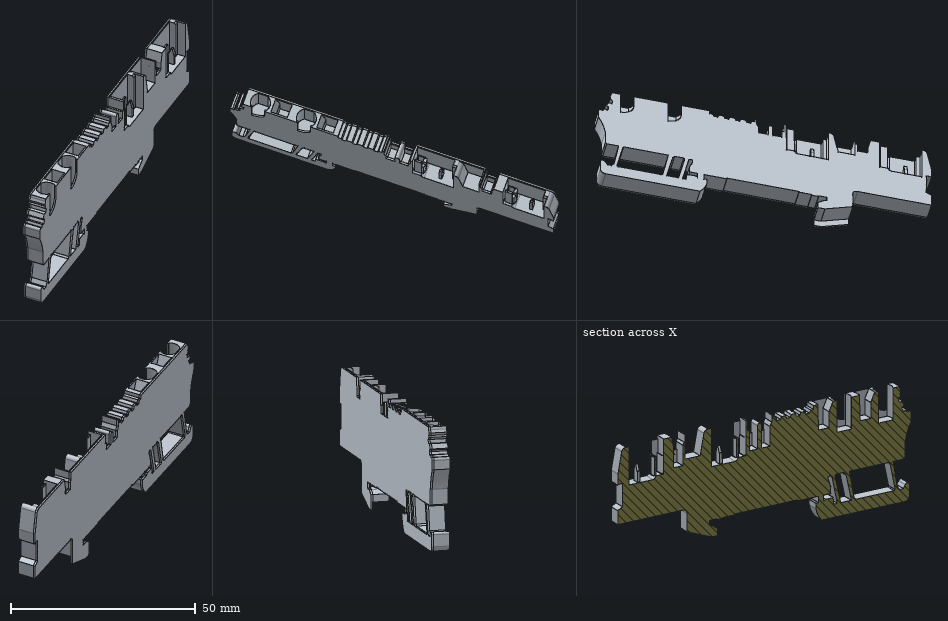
import cadquery as cq

LENGTH = 93.0
WIDTH = 5.1
HEIGHT = 34.0
COVER_THICKNESS = 0.6
SIDE_WALL = 0.3

END = LENGTH / 2
CAVITY_X = COVER_THICKNESS + SIDE_WALL

RAIL_SEAT_Z = 7.2
RAIL_RELIEF_Z = 7.4
ARM_TOP_Z = 4.0
WINDOW_TOP_Z = 12.5
SHOULDER_Z = 11.9
END_CORNER_RADIUS = 0.7
ARM_CORNER_RADIUS = 1.5
BRIDGE_FLOOR_Z = 28.7
PLUG_WALL_FOOT_Z = 26.8

PLUG_PITCH = 26.0
PLUG_COUNT = 2
CONDUCTOR_PITCH = 13.2
CONDUCTOR_COUNT = 2

SOCKET_END_Y = 43.8
SOCKET_INNER_Y = 32.0
SOCKET_FLOOR_Z = 22.9
SHELF_START_Y = 34.5
SHELF_RISE = 0.9

PLUG_WALL_SHOULDER = (45.3, 33.1)
PLUG_WALL_CREST_Y = 44.0
PLUG_WALL_RADIUS = 1.4

SLOT_1_Y = (25.95, 28.7)
SLOT_2_Y = (-1.7, 4.7)
FIN_Y = (0.9, 2.2)
FIN_TOP_Z = 32.5
BRIDGE_POCKET_DEPTH = 3.7
BRIDGE_POCKET_X_END = 4.6

MARKER_Y = (-15.4, -2.8)
MARKER_LEDGE_Z = 32.9
GROOVE_FLOOR_Z = 32.1
GROOVE_START_Y = -3.7
GROOVE_WIDTH = 1.6
GROOVE_PITCH = 3.1
GROOVE_COUNT = 4
GROOVE_DRAFT = 0.3

WELL_Y = (-21.7, -16.9)
OPENING_X_END = 4.65
WELL_DEPTH = 7.4
WELL_RAMP_RUN = 1.3
WELL_RAMP_DROP = 2.8
WELL_DRAFT = 0.3
WIRE_HOLE_Y = -25.2
WIRE_HOLE_X = 3.2
WIRE_HOLE_RADIUS = 2.7
WIRE_HOLE_DEPTH = 9.3
SCOOP_STRAIGHT_DEPTH = 3.7

PILLAR_Y = (-18.8, -17.0)
PILLAR_FOOT_Z = 5.4
FOOT_NOTCH_Y = 18.2
FOOT_LIFT = 2.2
FOOT_OUTER_Y = 24.55
FOOT_TIP_Y = 14.8
FOOT_SLOPE_Y = 16.7
FOOT_SLOPE_Z = 3.1
RAIL_BUMP_Y = (13.0, 15.0)
RAIL_BUMP_HEIGHT = 0.3

BLADE_Y = 39.6
BLADE_X = (1.95, 3.9)
BLADE_THICKNESS = 0.8
BLADE_SHOULDER_Z = 26.0
BLADE_SHOULDER_WIDTH = 0.3
BLADE_TIP_Z = 27.9
BLADE_TIP_X = (3.0, 3.4)

CLIP_X = (1.4, 4.5)
CLIP_Y = (32.4, 34.4)
CLIP_SHEET = 0.2
CLIP_TOP_Z = 29.3
CLIP_ARM_THICKNESS = 0.5
CLIP_ARM_TOP_Z = 33.3
CLIP_MOUTH_X = (2.8, 3.35)
CLIP_MOUTH_FLARE_X = (1.6, 4.3)
CLIP_MOUTH_TIP_Y = 35.25
CLIP_LIP_STEP = 0.6


def block(x_range, y_range, z_range):
    """A box given by its limits along the three axes."""
    (x0, x1), (y0, y1), (z0, z1) = x_range, y_range, z_range
    return cq.Workplane("XY").box(x1 - x0, y1 - y0, z1 - z0, centered=False).translate((x0, y0, z0))


def prism(points, x_start, x_end):
    """A polygon of (Y, Z) points extruded along X."""
    return cq.Workplane("YZ").workplane(offset=x_start).polyline(points).close().extrude(x_end - x_start)


def stations(count, pitch):
    """Y shifts of repeated features, stepping towards -Y."""
    return [-pitch * index for index in range(count)]


def outer_outline(x_start, x_end):
    """The side outline of the block with a flat top, extruded along X."""
    path = cq.Workplane("YZ").workplane(offset=x_start)
    path = path.moveTo(PLUG_WALL_CREST_Y, HEIGHT).radiusArc(PLUG_WALL_SHOULDER, PLUG_WALL_RADIUS)
    path = path.lineTo(END, PLUG_WALL_FOOT_Z).lineTo(END, 23.4).lineTo(45.8, 23.6).lineTo(45.0, 23.6)
    path = path.lineTo(45.0, 16.9).lineTo(END, 16.1).lineTo(END, SHOULDER_Z)
    path = path.lineTo(25.9, SHOULDER_Z).threePointArc((24.9, 11.6), (FOOT_OUTER_Y, 10.8))
    path = path.lineTo(FOOT_OUTER_Y, FOOT_SLOPE_Z).lineTo(FOOT_SLOPE_Y, 0).lineTo(FOOT_TIP_Y, 0)
    path = path.lineTo(FOOT_TIP_Y, 4.4).lineTo(16.3, 5.5).lineTo(FOOT_NOTCH_Y, 5.5)
    path = path.lineTo(FOOT_NOTCH_Y, RAIL_SEAT_Z).lineTo(9.5, RAIL_SEAT_Z).lineTo(9.5, RAIL_RELIEF_Z)
    path = path.lineTo(-10.6, RAIL_RELIEF_Z).lineTo(-10.6, RAIL_SEAT_Z).lineTo(-21.0, RAIL_SEAT_Z)
    path = path.lineTo(-21.0, 9.3).lineTo(-20.2, 11.7).threePointArc((-20.55, 12.4), (-21.3, 11.9))
    path = path.lineTo(-23.0, ARM_TOP_Z).lineTo(-22.0, ARM_TOP_Z).lineTo(-21.8, 5.95)
    path = path.lineTo(-19.25, 5.95).lineTo(-18.6, 5.4).lineTo(-16.2, 5.4).lineTo(-16.2, 3.8)
    path = path.threePointArc((-16.9, 1.7), (-18.1, 0)).lineTo(-44.5, 0)
    path = path.radiusArc((-45.9, 1.5), ARM_CORNER_RADIUS).lineTo(-45.9, 4.8)
    path = path.threePointArc((-45.3, 5.5), (-44.55, 5.0)).lineTo(-43.9, ARM_TOP_Z)
    path = path.lineTo(-42.8, ARM_TOP_Z).lineTo(-42.0, 5.2).lineTo(-40.8, WINDOW_TOP_Z)
    path = path.lineTo(-44.2, WINDOW_TOP_Z).lineTo(-44.55, 12.8).lineTo(-44.55, 17.1)
    path = path.threePointArc((-45.2, 19.9), (-END, 22.9)).lineTo(-END, 25.5)
    path = path.radiusArc((-45.8, 26.2), END_CORNER_RADIUS)
    path = path.lineTo(-45.3, 26.0).lineTo(-44.9, 26.8).lineTo(-44.1, 26.5).lineTo(-43.6, 27.3)
    path = path.lineTo(-43.7, 27.8).lineTo(-44.55, 28.3).lineTo(-43.8, 29.6).lineTo(-42.7, 29.5)
    path = path.lineTo(-42.5, 30.5).lineTo(-43.3, 31.25).lineTo(-43.1, 31.7).lineTo(-43.3, 32.5)
    path = path.lineTo(-43.0, 33.3).lineTo(-42.8, HEIGHT)
    return path.close().extrude(x_end - x_start)


def bridge_slot_1(x_start, x_end):
    """Stepped slot beside the first plug station."""
    y0, y1 = SLOT_1_Y
    return prism(
        [(y0 - 0.5, HEIGHT), (y0 - 0.5, 31.7), (y0, 31.0), (y0, BRIDGE_FLOOR_Z), (y1 - 0.4, BRIDGE_FLOOR_Z),
         (y1, 29.1), (y1, 31.0), (y1 + 0.65, HEIGHT)],
        x_start, x_end,
    )


def bridge_slot_2(x_start, x_end):
    """Wider stepped slot with a round-topped fin standing in it."""
    y0, y1 = SLOT_2_Y
    slot = prism(
        [(y0 - 0.6, HEIGHT), (y0 - 0.6, 32.0), (y0, 30.8), (y0, BRIDGE_FLOOR_Z), (y1, BRIDGE_FLOOR_Z),
         (y1, 31.0), (y1 + 0.6, 31.0), (y1 + 0.6, HEIGHT)],
        x_start, x_end,
    )
    fin_0, fin_1 = FIN_Y
    round_start_z = FIN_TOP_Z - (fin_1 - fin_0) / 2
    fin = (
        cq.Workplane("YZ").workplane(offset=x_start)
        .moveTo(fin_0, BRIDGE_FLOOR_Z).lineTo(fin_0, round_start_z)
        .threePointArc(((fin_0 + fin_1) / 2, FIN_TOP_Z), (fin_1, round_start_z))
        .lineTo(fin_1, BRIDGE_FLOOR_Z).close().extrude(x_end - x_start)
    )
    return slot.cut(fin)


def marker_strip(x_start, x_end):
    """Lowered ledge with evenly spaced grooves that narrow towards their floors."""
    strip = block((x_start, x_end), MARKER_Y, (MARKER_LEDGE_Z, HEIGHT))
    for index in range(GROOVE_COUNT):
        groove_end = GROOVE_START_Y - GROOVE_PITCH * index
        groove_start = groove_end - GROOVE_WIDTH
        groove = prism(
            [(groove_end, MARKER_LEDGE_Z), (groove_end - GROOVE_DRAFT, GROOVE_FLOOR_Z),
             (groove_start + GROOVE_DRAFT, GROOVE_FLOOR_Z), (groove_start, MARKER_LEDGE_Z)],
            x_start, x_end,
        )
        strip = strip.union(groove)
    return strip


def spring_windows(x_start, x_end):
    """Two slanted windows that leave spring ribs between the body and the foot arm."""
    narrow = prism(
        [(-22.7, WINDOW_TOP_Z), (-25.2, WINDOW_TOP_Z), (-25.8, 11.7), (-27.4, ARM_TOP_Z),
         (-24.2, ARM_TOP_Z), (-22.4, 12.1)],
        x_start, x_end,
    )
    wide = prism(
        [(-27.0, WINDOW_TOP_Z), (-39.4, WINDOW_TOP_Z), (-39.7, 11.9), (-41.3, 4.3), (-41.0, ARM_TOP_Z),
         (-28.9, ARM_TOP_Z), (-28.5, 4.5)],
        x_start, x_end,
    )
    return narrow.union(wide)


def side_body(x_start, x_end):
    """The complete side outline, shared by the cover plate and the housing."""
    body = outer_outline(x_start, x_end)
    for feature in (bridge_slot_1, bridge_slot_2, marker_strip, spring_windows):
        body = body.cut(feature(x_start, x_end))
    return body


def plug_socket(shift):
    """Socket open to +X, with a raised shelf, a filleted step and a corner lug."""
    shelf_z = SOCKET_FLOOR_Z + SHELF_RISE
    arc_y = SHELF_START_Y + SHELF_RISE
    arc_middle = (arc_y - SHELF_RISE * 0.5 ** 0.5, shelf_z - SHELF_RISE * 0.5 ** 0.5)
    socket = (
        cq.Workplane("YZ").workplane(offset=CAVITY_X)
        .moveTo(SOCKET_END_Y, HEIGHT).lineTo(SOCKET_END_Y, SOCKET_FLOOR_Z).lineTo(arc_y, SOCKET_FLOOR_Z)
        .threePointArc(arc_middle, (SHELF_START_Y, shelf_z))
        .lineTo(SOCKET_INNER_Y, shelf_z).lineTo(SOCKET_INNER_Y, HEIGHT)
        .close().extrude(WIDTH - CAVITY_X)
    )
    return socket.cut(corner_lug()).translate((0, shift, 0))


def corner_lug():
    """Lug in the outer corner of a socket, sloped towards +X at its top."""
    flat_end_x = 2.2
    lug_end_x = 2.8
    slope_drop = 0.4
    lug_length = 1.0
    return (
        cq.Workplane("XZ").workplane(offset=-SOCKET_END_Y)
        .polyline([(CAVITY_X, SOCKET_FLOOR_Z), (lug_end_x, SOCKET_FLOOR_Z), (lug_end_x, HEIGHT - slope_drop),
                   (flat_end_x, HEIGHT), (CAVITY_X, HEIGHT)])
        .close().extrude(lug_length)
    )


def plug_gap():
    """Open gap between the first bridge slot and the sloped wall of the second plug station."""
    gap_end_y = 25.1

    def at_second_station(y, z):
        return (y - PLUG_PITCH, z)

    return (
        cq.Workplane("YZ").workplane(offset=CAVITY_X)
        .moveTo(gap_end_y, HEIGHT).lineTo(gap_end_y, PLUG_WALL_FOOT_Z)
        .lineTo(*at_second_station(END, PLUG_WALL_FOOT_Z))
        .lineTo(*at_second_station(*PLUG_WALL_SHOULDER))
        .radiusArc(at_second_station(PLUG_WALL_CREST_Y, HEIGHT), -PLUG_WALL_RADIUS)
        .close().extrude(WIDTH - CAVITY_X)
    )


def bridge_pockets():
    """Pockets sunk into the floors of the bridge slots."""
    spans = [SLOT_1_Y, (FIN_Y[1], SLOT_2_Y[1]), (SLOT_2_Y[0], FIN_Y[0])]
    pockets = cq.Workplane("XY")
    for y0, y1 in spans:
        pocket = block(
            (CAVITY_X, BRIDGE_POCKET_X_END),
            (y0, y1),
            (BRIDGE_FLOOR_Z - BRIDGE_POCKET_DEPTH, BRIDGE_FLOOR_Z),
        )
        pockets = pockets.add(pocket)
    return pockets.combine()


def release_well(shift):
    """Rectangular well with a ramp on its -Y side and a slight draft on its +Y side."""
    y0, y1 = WELL_Y
    floor_z = HEIGHT - WELL_DEPTH
    ramp_end_y = y0 + WELL_RAMP_RUN
    outline = [(y0, HEIGHT), (ramp_end_y, HEIGHT - WELL_RAMP_DROP), (ramp_end_y, floor_z),
               (y1 - WELL_DRAFT, floor_z), (y1, HEIGHT)]
    return prism(outline, CAVITY_X, OPENING_X_END).translate((0, shift, 0))


def wire_hole(shift):
    """Round hole flattened by both side walls; the +X wall is cut down to a quarter arc."""
    cylinder = (
        cq.Workplane("XY").workplane(offset=HEIGHT - WIRE_HOLE_DEPTH)
        .center(WIRE_HOLE_X, WIRE_HOLE_Y).circle(WIRE_HOLE_RADIUS).extrude(WIRE_HOLE_DEPTH)
    )
    reach = 2 * WIRE_HOLE_RADIUS
    y_limits = (WIRE_HOLE_Y - reach, WIRE_HOLE_Y + reach)
    hole = cylinder.intersect(block((CAVITY_X, OPENING_X_END), y_limits, (0, HEIGHT)))

    half_opening = (WIRE_HOLE_RADIUS ** 2 - (WIDTH - WIRE_HOLE_X) ** 2) ** 0.5
    near_y = WIRE_HOLE_Y - half_opening
    far_y = WIRE_HOLE_Y + half_opening
    arc_top_z = HEIGHT - SCOOP_STRAIGHT_DEPTH
    scoop_radius = far_y - near_y
    scoop = (
        cq.Workplane("YZ").workplane(offset=OPENING_X_END)
        .moveTo(near_y, HEIGHT).lineTo(far_y, HEIGHT).lineTo(far_y, arc_top_z)
        .radiusArc((near_y, arc_top_z - scoop_radius), scoop_radius)
        .close().extrude(WIDTH - OPENING_X_END)
    )
    return hole.union(scoop).translate((0, shift, 0))


def foot_relief():
    """Material removed below the housing's fixed foot, so that the cover's foot reaches lower."""
    return prism(
        [(FOOT_OUTER_Y, FOOT_SLOPE_Z + FOOT_LIFT), (FOOT_SLOPE_Y, FOOT_LIFT), (FOOT_TIP_Y, FOOT_LIFT),
         (FOOT_TIP_Y, 0), (FOOT_OUTER_Y, 0)],
        COVER_THICKNESS, WIDTH,
    )


def rail_details():
    """Filled foot notch, small rail bump and the pillar that holds the sprung foot."""
    span = (COVER_THICKNESS, WIDTH)
    notch_fill = prism(
        [(FOOT_NOTCH_Y, RAIL_SEAT_Z), (17.3, RAIL_SEAT_Z), (17.3, 6.0), (16.3, 5.5), (FOOT_NOTCH_Y, 5.5)], *span
    )
    bump = block(span, RAIL_BUMP_Y, (RAIL_SEAT_Z - RAIL_BUMP_HEIGHT, RAIL_SEAT_Z))
    pillar = block(span, PILLAR_Y, (PILLAR_FOOT_Z, RAIL_SEAT_Z))
    return [notch_fill, bump, pillar]


def make_cover():
    """Thin plate that closes the -X side."""
    return side_body(0, COVER_THICKNESS)


def make_housing():
    """Insulating housing with all its sockets and openings."""
    housing = side_body(COVER_THICKNESS, WIDTH).cut(foot_relief())
    for detail in rail_details():
        housing = housing.union(detail)
    for shift in stations(PLUG_COUNT, PLUG_PITCH):
        housing = housing.cut(plug_socket(shift))
    housing = housing.cut(plug_gap()).cut(bridge_pockets())
    for shift in stations(CONDUCTOR_COUNT, CONDUCTOR_PITCH):
        housing = housing.cut(release_well(shift)).cut(wire_hole(shift))
    return housing


def make_blade(shift):
    """Upright contact blade with a tapered tip above a narrow shoulder, standing on the socket floor."""
    x0, x1 = BLADE_X
    tip_0, tip_1 = BLADE_TIP_X
    blade = (
        cq.Workplane("XZ").workplane(offset=-BLADE_Y)
        .polyline([(x0, SOCKET_FLOOR_Z), (x1, SOCKET_FLOOR_Z), (x1, BLADE_SHOULDER_Z), (tip_1, BLADE_TIP_Z),
                   (tip_0, BLADE_TIP_Z), (x0 + BLADE_SHOULDER_WIDTH, BLADE_SHOULDER_Z), (x0, BLADE_SHOULDER_Z)])
        .close().extrude(BLADE_THICKNESS / 2, both=True)
    )
    return blade.translate((0, shift, 0))


def make_clip(shift):
    """Bent sheet clip: a box section with a tapered mouth towards +Y and a tall +X arm."""
    x0, x1 = CLIP_X
    y0, y1 = CLIP_Y
    base_z = SOCKET_FLOOR_Z + SHELF_RISE
    inner_x = (x0 + CLIP_SHEET, x1 - CLIP_SHEET)
    inner_y = (y0 + CLIP_SHEET, y1 - CLIP_SHEET)
    height_range = (base_z, CLIP_TOP_Z)
    clip = block(CLIP_X, CLIP_Y, height_range).cut(block(inner_x, inner_y, height_range))
    for mouth_x, flare_x in zip(CLIP_MOUTH_X, CLIP_MOUTH_FLARE_X):
        lip = (
            cq.Workplane("XY").workplane(offset=base_z)
            .polyline([(mouth_x, inner_y[1]), (mouth_x, CLIP_MOUTH_TIP_Y),
                       (flare_x, y1 + CLIP_LIP_STEP), (flare_x, inner_y[1])])
            .close().extrude(CLIP_TOP_Z - base_z)
        )
        clip = clip.union(lip)
    clip = clip.cut(block(CLIP_MOUTH_X, (inner_y[1], y1), height_range))
    arm = block((x1 - CLIP_ARM_THICKNESS, x1), CLIP_Y, (base_z, CLIP_ARM_TOP_Z))
    return clip.union(arm).translate((0, shift, 0))


cover = make_cover()
housing = make_housing()
blades = [make_blade(shift) for shift in stations(PLUG_COUNT, PLUG_PITCH)]
clips = [make_clip(shift) for shift in stations(PLUG_COUNT, PLUG_PITCH)]

result = cq.Compound.makeCompound(
    [cover.val(), housing.val(), *[blade.val() for blade in blades], *[clip.val() for clip in clips]]
)